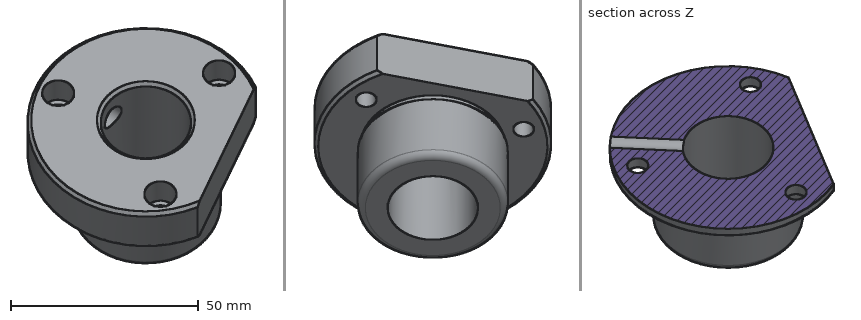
import cadquery as cq
import math

flange_diameter = 62.95
flange_thickness = 15.0
flat_x = 23.05
edge_chamfer = 1.0

total_height = 38.0
spigot_diameter = 39.9
groove_diameter = 38.6
groove_height = 1.45
spigot_fillet = 2.0
spigot_chamfer = (spigot_diameter - groove_diameter) / 2

bore_diameter = 24.0

bolt_circle_radius = 25.0
screw_angles = (60, 180, 300)
screw_diameter = 5.5
counterbore_diameter = 8.5
counterbore_depth = 8.5

port_angle = 160
port_diameter = 6.8
port_z = -9.0


def make_flange():
    disc = (
        cq.Workplane("XY")
        .circle(flange_diameter / 2)
        .extrude(-flange_thickness)
        .edges()
        .chamfer(edge_chamfer)
    )
    flat_cut = cq.Workplane("XY").box(
        flange_diameter, 2 * flange_diameter, 2 * total_height, centered=(False, True, True)
    )
    return disc.cut(flat_cut.translate((flat_x, 0, 0)))


def make_spigot():
    groove_bottom = -flange_thickness - groove_height
    groove = (
        cq.Workplane("XY")
        .workplane(offset=-flange_thickness)
        .circle(groove_diameter / 2)
        .extrude(-groove_height)
    )
    body = (
        cq.Workplane("XY")
        .workplane(offset=-total_height)
        .circle(spigot_diameter / 2)
        .extrude(groove_bottom + total_height)
        .faces("<Z")
        .edges()
        .fillet(spigot_fillet)
        .faces(">Z")
        .edges()
        .chamfer(spigot_chamfer)
    )
    return groove.union(body)


def make_bore():
    radius = bore_diameter / 2
    mouth_radius = radius + edge_chamfer
    return (
        cq.Workplane("XZ")
        .moveTo(0, 0)
        .lineTo(mouth_radius, 0)
        .lineTo(radius, -edge_chamfer)
        .lineTo(radius, -total_height)
        .lineTo(0, -total_height)
        .close()
        .revolve(360, (0, 0, 0), (0, 1, 0))
    )


def make_screw_hole(angle):
    through = cq.Workplane("XY").circle(screw_diameter / 2).extrude(-flange_thickness)
    counterbore = cq.Workplane("XY").circle(counterbore_diameter / 2).extrude(-counterbore_depth)
    x = bolt_circle_radius * math.cos(math.radians(angle))
    y = bolt_circle_radius * math.sin(math.radians(angle))
    return through.union(counterbore).translate((x, y, 0))


def make_port():
    return (
        cq.Workplane("YZ")
        .center(0, port_z)
        .circle(port_diameter / 2)
        .extrude(flange_diameter / 2)
        .rotate((0, 0, 0), (0, 0, 1), port_angle)
    )


result = make_flange().union(make_spigot()).cut(make_bore())
for screw_angle in screw_angles:
    result = result.cut(make_screw_hole(screw_angle))
result = result.cut(make_port())
result = result.translate((0, 0, total_height))